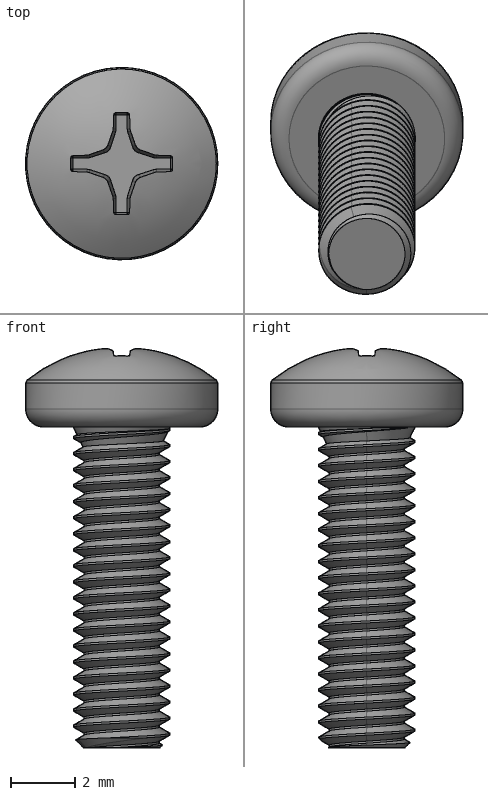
import cadquery as cq
import math


head_radius = 3.0
head_height = 2.5
head_bottom_fillet = 0.57
rim_height = 1.47
rim_round_height = 0.09
dome_base_radius = head_radius - 0.05

shank_length = 10.0
thread_radius = head_radius / 2
shank_turns = 20
pitch = shank_length / shank_turns
flank_angle = math.radians(30)
sharp_thread_height = pitch / 2 / math.tan(flank_angle)
thread_depth = 0.75 * sharp_thread_height
root_radius = thread_radius - thread_depth
crest_width = pitch / 8
root_width = pitch / 8
tip_chamfer = 0.31
first_crest_drop = 0.07
groove_turns = 22
seam_angle = 200

neck_top_radius = thread_radius + 0.01
neck_bottom_radius = 1.12
neck_length = 0.8

recess_floor_height = 1.73
arm_reach = 1.52
arm_half_width = 0.17
arm_flare_start = 1.03
inner_corner = 0.39
recess_draft = 8
corner_radius = 0.27


def make_head():
    """Pan head: filleted bottom edge, short cylindrical side, domed top."""
    cylinder_top = rim_height - rim_round_height
    dome_rise = head_height - rim_height
    dome_radius = (dome_base_radius**2 + dome_rise**2) / (2 * dome_rise)
    dome_center = head_height - dome_radius
    mid_radius = dome_base_radius / 2
    mid_height = dome_center + math.sqrt(dome_radius**2 - mid_radius**2)
    fillet_diagonal = head_bottom_fillet * math.sqrt(0.5)
    fillet_mid = (
        head_radius - head_bottom_fillet + fillet_diagonal,
        head_bottom_fillet - fillet_diagonal,
    )
    return (
        cq.Workplane("XZ")
        .lineTo(head_radius - head_bottom_fillet, 0)
        .threePointArc(fillet_mid, (head_radius, head_bottom_fillet))
        .lineTo(head_radius, cylinder_top)
        .lineTo(dome_base_radius, rim_height)
        .threePointArc((mid_radius, mid_height), (0, head_height))
        .close()
        .revolve(360, (0, 0, 0), (0, 1, 0))
    )


def make_thread_groove():
    """Trapezoidal helical groove, running past both ends of the shank."""
    overlap = 0.02
    half_root = root_width / 2
    outer_radius = thread_radius + overlap
    half_mouth = half_root + (thread_depth + overlap) * math.tan(flank_angle)
    start_height = -first_crest_drop - pitch / 2 - shank_turns * pitch
    end_height = start_height + groove_turns * pitch
    corners = [
        (root_radius, -half_root),
        (outer_radius, -half_mouth),
        (outer_radius, half_mouth),
        (root_radius, half_root),
    ]
    faces = []
    for turn in range(groove_turns):
        turn_height = start_height + turn * pitch
        helices = [
            cq.Wire.makeHelix(pitch, pitch, radius, center=cq.Vector(0, 0, turn_height + offset))
            for radius, offset in corners
        ]
        for index, helix in enumerate(helices):
            faces.append(cq.Face.makeRuledSurface(helices[index - 1], helix))
    for height in (start_height, end_height):
        end_points = [cq.Vector(radius, 0, height + offset) for radius, offset in corners]
        faces.append(cq.Face.makeFromWires(cq.Wire.makePolygon(end_points, close=True)))
    return cq.Solid.makeSolid(cq.Shell.makeShell(faces))


def make_shank():
    """Threaded shank with a chamfered tip and a conical run-out neck."""
    blank = (
        cq.Workplane("XY")
        .circle(thread_radius)
        .extrude(-shank_length)
        .faces("<Z")
        .chamfer(tip_chamfer)
        .rotate((0, 0, 0), (0, 0, 1), seam_angle)
    )
    neck = (
        cq.Workplane("XZ")
        .polyline([(0, 0), (neck_top_radius, 0), (neck_bottom_radius, -neck_length), (0, -neck_length)])
        .close()
        .revolve(360, (0, 0, 0), (0, 1, 0))
    )
    return blank.cut(cq.Workplane(make_thread_groove())).union(neck)


def make_recess():
    """Four-armed recess that widens upwards, with flared, rounded inner corners."""
    arm_points = [
        (arm_reach, -arm_half_width),
        (arm_reach, arm_half_width),
        (arm_flare_start, arm_half_width),
        (inner_corner, inner_corner),
        (arm_half_width, arm_flare_start),
    ]
    outline = []
    for quarter in range(4):
        cosine = round(math.cos(quarter * math.pi / 2))
        sine = round(math.sin(quarter * math.pi / 2))
        for x, y in arm_points:
            outline.append((x * cosine - y * sine, x * sine + y * cosine))
    recess_depth = head_height - recess_floor_height
    recess = (
        cq.Workplane("XY", origin=(0, 0, recess_floor_height))
        .polyline(outline)
        .close()
        .extrude(recess_depth, taper=-recess_draft)
    )
    corner_zone_half = 0.8 * arm_reach
    corner_zone = cq.selectors.BoxSelector(
        (-corner_zone_half, -corner_zone_half, recess_floor_height + recess_depth / 4),
        (corner_zone_half, corner_zone_half, head_height - recess_depth / 4),
    )
    return recess.edges(corner_zone).fillet(corner_radius)


result = make_head().union(make_shank()).cut(make_recess())